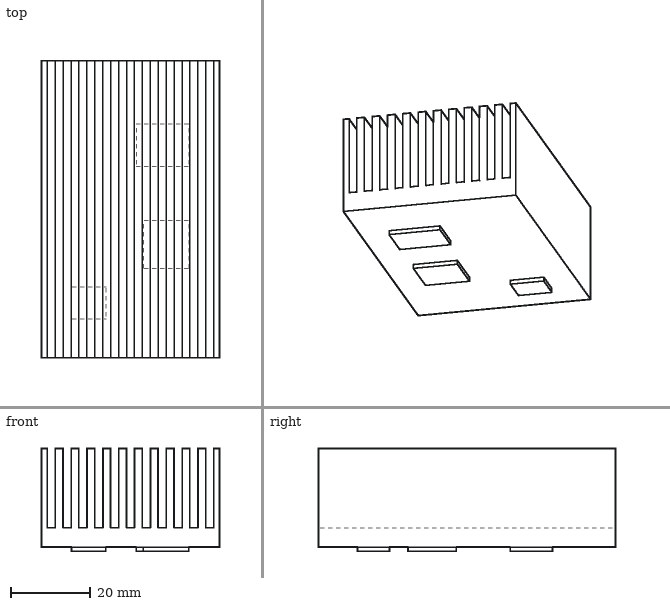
import cadquery as cq

width = 45.0
length = 75.0
base_thickness = 4.95
fin_height = 20.0
body_height = base_thickness + fin_height

gap_count = 11
outer_fin_width = 1.5
inner_fin_count = gap_count - 1
gap_width = (width - 2 * outer_fin_width) / (gap_count + inner_fin_count)
gap_pitch = 2 * gap_width

pad_thickness = 1.05
pad_right_edge = 14.7
pads = [
    (-14.9, -6.2, -27.7, -19.5),
    (3.2, pad_right_edge, -14.9, -2.7),
    (1.4, pad_right_edge, 10.9, 21.6),
]


def make_body():
    """Solid block with its underside at Z = 0, centred in X and Y."""
    return cq.Workplane("XY").box(width, length, body_height, centered=(True, True, False))


def make_gaps():
    """Evenly spaced channels between the fins, open at the top and both ends."""
    return (
        cq.Workplane("XY", origin=(0, 0, base_thickness))
        .rarray(gap_pitch, 0.75, gap_count, 1)
        .rect(gap_width, length)
        .extrude(fin_height)
    )


def make_pad(x_min, x_max, y_min, y_max):
    """Rectangular pad hanging below the base."""
    return (
        cq.Workplane("XY")
        .center((x_min + x_max) / 2, (y_min + y_max) / 2)
        .rect(x_max - x_min, y_max - y_min)
        .extrude(-pad_thickness)
    )


result = make_body().cut(make_gaps())
for pad in pads:
    result = result.union(make_pad(*pad))